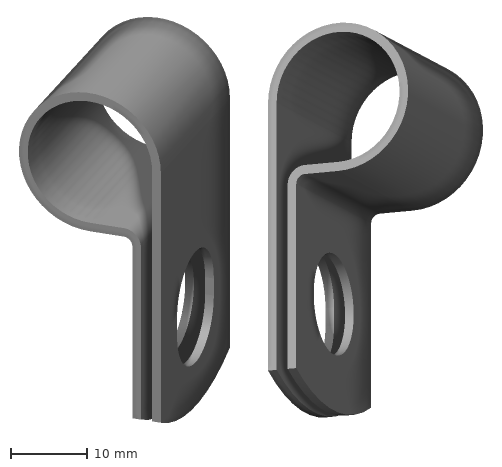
import cadquery as cq
import math

loop_diameter = 19.85
width = 25.4
height = 48.8
thickness = 1.2
leg_gap = 1.55
bend_inner_radius = 1.2
tip_rise = 3.05
hole_diameter = 13.5
hole_height = 14.25
slot_travel = 2.45

outer_radius = loop_diameter / 2
inner_radius = outer_radius - thickness
bottom = outer_radius - height
short_leg_right = inner_radius - leg_gap
short_leg_left = short_leg_right - thickness
bend_outer_radius = bend_inner_radius + thickness
bend_x = short_leg_right - bend_outer_radius
bend_z = -inner_radius - bend_outer_radius
diagonal = math.sqrt(0.5)


def strip_body():
    """Bent strip: long leg, three-quarter loop, bend and short leg."""
    bend_outer_mid = (bend_x + bend_outer_radius * diagonal, bend_z + bend_outer_radius * diagonal)
    bend_inner_mid = (bend_x + bend_inner_radius * diagonal, bend_z + bend_inner_radius * diagonal)
    return (
        cq.Workplane("XZ")
        .moveTo(outer_radius, bottom)
        .lineTo(outer_radius, 0)
        .threePointArc((-outer_radius * diagonal, outer_radius * diagonal), (0, -outer_radius))
        .lineTo(bend_x, -outer_radius)
        .threePointArc(bend_inner_mid, (short_leg_left, bend_z))
        .lineTo(short_leg_left, bottom)
        .lineTo(short_leg_right, bottom)
        .lineTo(short_leg_right, bend_z)
        .threePointArc(bend_outer_mid, (bend_x, -inner_radius))
        .lineTo(0, -inner_radius)
        .threePointArc((-inner_radius * diagonal, inner_radius * diagonal), (inner_radius, 0))
        .lineTo(inner_radius, bottom)
        .close()
        .extrude(width / 2, both=True)
    )


def side_outline():
    """Rectangle with a rounded lower end, spanning the full X depth."""
    half_width = width / 2
    return (
        cq.Workplane("YZ")
        .moveTo(-half_width, outer_radius)
        .lineTo(-half_width, bottom + tip_rise)
        .threePointArc((0, bottom), (half_width, bottom + tip_rise))
        .lineTo(half_width, outer_radius)
        .close()
        .extrude(outer_radius, both=True)
    )


def bolt_hole():
    """Round hole along X through the short leg."""
    return (
        cq.Workplane("YZ", origin=(0, 0, bottom + hole_height))
        .circle(hole_diameter / 2)
        .extrude(short_leg_right + leg_gap / 2)
    )


def adjustment_slot():
    """Vertical slot along X through the long leg, as wide as the round hole."""
    return (
        cq.Workplane("YZ", origin=(short_leg_right + leg_gap / 2, 0, bottom + hole_height))
        .slot2D(hole_diameter + slot_travel, hole_diameter, angle=90)
        .extrude(leg_gap + thickness)
    )


result = strip_body().intersect(side_outline()).cut(bolt_hole()).cut(adjustment_slot())